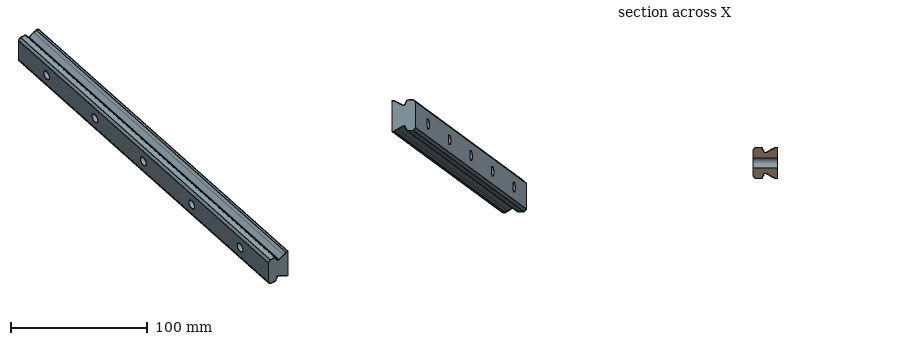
import cadquery as cq
import math

length = 310.0
depth = 18.0
height = 23.0

land_width = 2.0
race_end = 4.0
race_drop = 1.2
race_sag = 0.22
groove_start = 8.5
groove_end = 9.5
shoulder = 11.5
groove_depth = 3.7
front_chamfer = 2.0

hole_diameter = 7.0
hole_count = 5
end_distance = 35.0
hole_pitch = (length - 2 * end_distance) / (hole_count - 1)


def rail_body():
    """Extrude half the profile, with its ball race and groove, and mirror it below."""
    back = depth / 2
    top = height / 2
    race_chord = math.hypot(race_end - land_width, race_drop)
    race_middle = (
        back - (land_width + race_end) / 2 + race_sag * race_drop / race_chord,
        top - race_drop / 2 - race_sag * (race_end - land_width) / race_chord,
    )
    profile = (
        cq.Workplane("YZ")
        .moveTo(back, 0)
        .lineTo(back, top)
        .lineTo(back - land_width, top)
        .threePointArc(race_middle, (back - race_end, top - race_drop))
        .lineTo(back - groove_start, top - groove_depth)
        .lineTo(back - groove_end, top - groove_depth)
        .lineTo(back - shoulder, top)
        .lineTo(front_chamfer - back, top)
        .lineTo(-back, top - front_chamfer)
        .lineTo(-back, 0)
        .close()
    )
    upper_half = profile.extrude(length / 2, both=True)
    return upper_half.union(upper_half.mirror("XY")).clean()


def mounting_holes():
    """Evenly spaced cylinders passing through the rail along Y."""
    centers = [(end_distance + i * hole_pitch - length / 2, 0) for i in range(hole_count)]
    drill = cq.Workplane("XZ").pushPoints(centers).circle(hole_diameter / 2)
    return drill.extrude(depth, both=True)


result = rail_body().cut(mounting_holes())